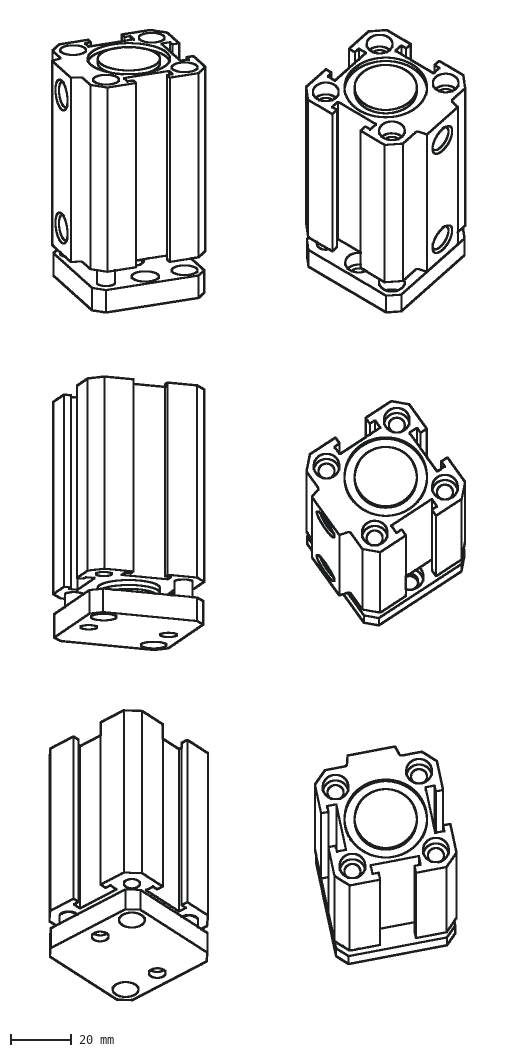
import cadquery as cq
import math


total_height = 80.0
plate_thickness = 8.0
housing_bottom = 14.6
housing_height = total_height - housing_bottom
corner_offset = 14.0

housing_width = 41.0
housing_half = housing_width / 2
housing_chamfer = 4.2
slot_mouth = 12.0
slot_inner_width = 16.2
slot_lip = 2.5
slot_depth = 5.5

rib_height = 3.5
rib_tip_width = 16.0
rib_flank_angle = 15.0
rib_root_fillet = 0.9

port_diameter = 8.5
port_mouth_diameter = 10.2
port_depth = 9.6
port_heights = (23.7, 70.9)

recess_diameter = 27.1
recess_depth = 1.6
collar_diameter = 20.5
collar_height = 2.7
collar_chamfer = 1.0

bolt_diameter = 5.3
bolt_head_diameter = 8.5
bolt_head_depth = 5.6

plate_width = 40.0
plate_chamfer = 3.5
access_diameter = 8.5
side_hole_diameter = 5.5
side_head_diameter = 9.0
side_head_depth = 5.6

rod_diameter = 10.0
rod_flats = 8.0
rod_chamfer = 0.5
collar_bottom = housing_bottom - collar_height
flats_top = 10.8
pin_diameter = 6.0

pin_corners = [(-corner_offset, corner_offset), (corner_offset, -corner_offset)]
open_corners = [(-corner_offset, -corner_offset), (corner_offset, corner_offset)]


def chamfered_block(width, chamfer, bottom, height):
    """Square block on the Z axis with its four upright edges chamfered."""
    block = cq.Workplane("XY").workplane(offset=bottom).rect(width, width).extrude(height)
    return block.edges("|Z").chamfer(chamfer)


def cylinder(diameter, bottom, height, points=((0, 0),)):
    """Upright cylinders of one size at the given points."""
    plane = cq.Workplane("XY").workplane(offset=bottom)
    return plane.pushPoints(list(points)).circle(diameter / 2).extrude(height)


def t_slot():
    """Full-height T-slot cutter for the +X face."""
    mouth = cq.Workplane("XY").box(slot_depth, slot_mouth, housing_height, centered=(False, True, False))
    inner = cq.Workplane("XY").box(
        slot_depth - slot_lip, slot_inner_width, housing_height, centered=(False, True, False)
    )
    return mouth.union(inner).translate((housing_half - slot_depth, 0, housing_bottom))


def port_rib():
    """Tapered rib on the -Y face with rounded roots."""
    angle = math.radians(rib_flank_angle)
    tip_half = rib_tip_width / 2
    root_half = tip_half + rib_height * math.tan(angle)
    half_turn = (math.pi / 2 - angle) / 2
    tangent = rib_root_fillet * math.tan(half_turn)
    arc_start = (root_half + tangent, -housing_half)
    arc_end = (root_half - tangent * math.sin(angle), -housing_half - tangent * math.cos(angle))
    arc_middle = (
        arc_start[0] - rib_root_fillet * math.sin(half_turn),
        -housing_half - rib_root_fillet * (1 - math.cos(half_turn)),
    )

    def mirrored(point):
        return (-point[0], point[1])

    tip = (tip_half, -housing_half - rib_height)
    return (
        cq.Workplane("XY")
        .workplane(offset=housing_bottom)
        .moveTo(*arc_start)
        .threePointArc(arc_middle, arc_end)
        .lineTo(*tip)
        .lineTo(*mirrored(tip))
        .lineTo(*mirrored(arc_end))
        .threePointArc(mirrored(arc_middle), mirrored(arc_start))
        .lineTo(-arc_start[0], 0)
        .lineTo(arc_start[0], 0)
        .close()
        .extrude(housing_height)
    )


def port(height):
    """Blind port cutter with a 45-degree mouth, running in +Y from the rib tip."""
    bore_radius = port_diameter / 2
    mouth_radius = port_mouth_diameter / 2
    profile = [
        (0, 0),
        (mouth_radius, 0),
        (bore_radius, mouth_radius - bore_radius),
        (bore_radius, port_depth),
        (0, port_depth),
    ]
    cutter = cq.Workplane("XY").polyline(profile).close().revolve(360, (0, 0), (0, 1))
    return cutter.translate((0, -housing_half - rib_height, height))


def make_housing():
    body = chamfered_block(housing_width, housing_chamfer, housing_bottom, housing_height)
    body = body.union(port_rib())

    for turn in (0, 90, 180):
        body = body.cut(t_slot().rotate((0, 0, 0), (0, 0, 1), turn))

    recess_floor = total_height - recess_depth
    recess = cylinder(recess_diameter, recess_floor, recess_depth)
    body = body.cut(recess.cut(cylinder(collar_diameter, recess_floor, recess_depth)))

    collar = cylinder(collar_diameter, collar_bottom, collar_height)
    body = body.union(collar.faces("<Z").chamfer(collar_chamfer))

    corners = pin_corners + open_corners
    body = body.cut(cylinder(bolt_diameter, housing_bottom, housing_height, corners))
    body = body.cut(cylinder(bolt_head_diameter, total_height - bolt_head_depth, bolt_head_depth, corners))

    for height in port_heights:
        body = body.cut(port(height))
    return body


def piston_rod():
    """Rod stub between plate and collar, with two flats and a chamfered foot."""
    rod = cylinder(rod_diameter, plate_thickness, collar_bottom - plate_thickness)
    rod = rod.faces("<Z").chamfer(rod_chamfer)
    flats_height = flats_top - plate_thickness
    flats_keep = cq.Workplane("XY").box(rod_flats, rod_diameter, flats_height, centered=(True, True, False))
    flats_cut = cylinder(2 * rod_diameter, 0, flats_height).cut(flats_keep)
    return rod.cut(flats_cut.translate((0, 0, plate_thickness)))


def make_guide_plate():
    body = chamfered_block(plate_width, plate_chamfer, 0, plate_thickness)

    body = body.cut(cylinder(access_diameter, 0, plate_thickness, open_corners))

    sides = [(-corner_offset, 0), (corner_offset, 0)]
    body = body.cut(cylinder(side_hole_diameter, 0, plate_thickness, sides))
    body = body.cut(cylinder(side_head_diameter, plate_thickness - side_head_depth, side_head_depth, sides))

    pin_length = housing_bottom - plate_thickness
    body = body.union(cylinder(pin_diameter, plate_thickness, pin_length, pin_corners))
    return body.union(piston_rod())


housing = make_housing()
guide_plate = make_guide_plate()

result = cq.Compound.makeCompound([housing.solids().val(), guide_plate.solids().val()])